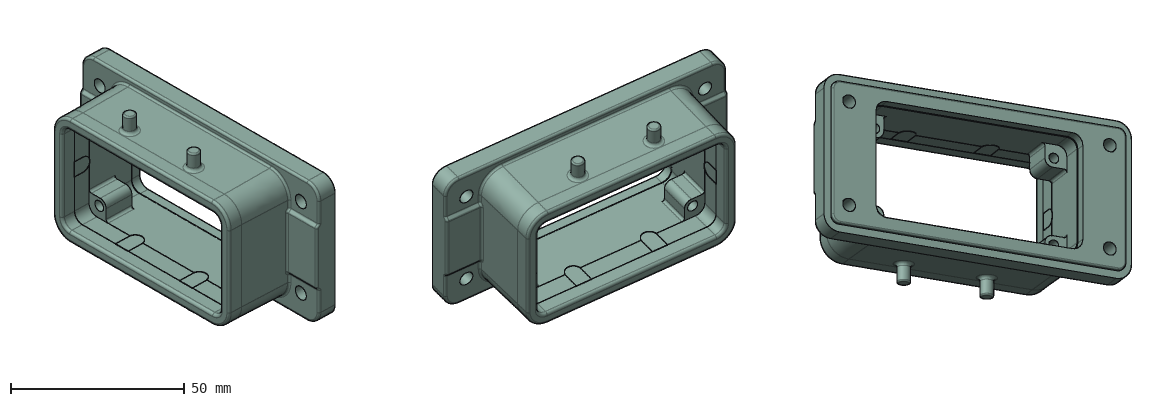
import cadquery as cq
import math


depth = 31.65

plate_length = 98.0
plate_height = 48.7
plate_corner = 4.9
plate_front = 7.7
lip_inset_x = 2.2
lip_inset_z = 2.4
lip_depth = 1.2
lip_corner = plate_corner - lip_inset_z
lip_round = 0.5
plate_round = 0.8

pad_rise = 0.9
step_length = 1.5
pad_half_height = 10.2

screw_hole_front = 4.5
screw_hole_back = 4.0
screw_x = 41.5
screw_z = 16.0

collar_length = 72.7
collar_height = 43.0
collar_corner = 7.2
collar_depth = 5.1
wall_draft = 1.2
rim_round = 0.9
mouth_round = 1.0
base_fillet = 0.7

opening_length = 65.3
opening_height = 35.3
opening_corner = 3.1
rear_step = 0.3
rear_depth = 3.4
band_depth = 0.1
band_end = 11.0
relief_depth = 0.2
relief_radius = 2.6
relief_centre = 10.6
end_relief_centre = 8.6

pin_diameter = 4.0
pin_x = 13.2
pin_from_rim = 8.3
pin_tip_z = 27.5
pin_tip_round = 0.5
pin_fillet = 1.1

boss_inner_x = 25.7
boss_inner_z = 10.6
boss_front = band_end
boss_length = 10.4
boss_corner = 2.45
boss_fillet = 0.9
boss_overlap = 1.0
boss_hole_front = 3.5
boss_hole_back = 3.0
boss_hole_x = 28.5
boss_hole_z = 13.4

rim_y = -depth
pin_y = rim_y + pin_from_rim
collar_y = rim_y + collar_depth
wall_growth = (-plate_front - collar_y) * math.tan(math.radians(wall_draft))
edge_margin = 0.3
SIGNS = (-1, 1)
CORNERS = [(sx, sz) for sx in SIGNS for sz in SIGNS]


def rounded_block(length, height, corner, y_front, y_back):
    """Block with rounded vertical corners, spanning y_front to y_back."""
    return (
        cq.Workplane("XZ", origin=(0, y_back, 0))
        .rect(length, height)
        .extrude(y_back - y_front)
        .edges("|Y")
        .fillet(corner)
    )


def make_lip():
    """Locating lip, inset from the plate and rounded along its back edge."""
    lip = rounded_block(
        plate_length - 2 * lip_inset_x, plate_height - 2 * lip_inset_z, lip_corner, -plate_front, 0
    )
    return lip.faces(">Y").edges().fillet(lip_round)


def make_plate():
    """Plate and raised pad, rounded along the whole front edge."""
    plate = rounded_block(plate_length, plate_height, plate_corner, -plate_front, -lip_depth)
    face_y = -plate_front
    pad_y = face_y - pad_rise
    outer_z = pad_half_height + step_length
    upper_half = (
        cq.Workplane("YZ", origin=(-plate_length / 2, 0, 0))
        .moveTo(-lip_depth, 0)
        .lineTo(pad_y, 0)
        .lineTo(pad_y, pad_half_height)
        .spline([(face_y, outer_z)], tangents=[(0, 1), (0, 1)], includeCurrent=True)
        .lineTo(-lip_depth, outer_z)
        .close()
        .extrude(plate_length)
    )
    pad = upper_half.union(upper_half.mirror("XY")).clean()
    plate = plate.union(pad)
    front_edges = cq.selectors.BoxSelector(
        (-plate_length, pad_y - edge_margin, -plate_height),
        (plate_length, face_y + edge_margin, plate_height),
    )
    step_lines = cq.selectors.BoxSelector(
        (-edge_margin, pad_y - edge_margin, -outer_z - edge_margin),
        (edge_margin, face_y + edge_margin, outer_z + edge_margin),
    )
    return plate.edges(front_edges - step_lines).fillet(plate_round)


def make_housing():
    """Straight collar with a rounded rim, and drafted walls running back into the plate."""
    collar = rounded_block(collar_length, collar_height, collar_corner, rim_y, collar_y)
    collar = collar.faces("<Y").edges().fillet(rim_round)
    walls = (
        cq.Workplane("XZ", origin=(0, collar_y, 0))
        .sketch()
        .rect(collar_length, collar_height)
        .vertices()
        .fillet(collar_corner)
        .finalize()
        .extrude(collar_y + lip_depth, taper=-wall_draft)
    )
    return collar.union(walls)


def round_base(body):
    """Blend the foot of the housing into the plate and pads."""
    reach_x = collar_length / 2 + wall_growth + edge_margin
    reach_z = collar_height / 2 + wall_growth + edge_margin
    foot = cq.selectors.BoxSelector(
        (-reach_x, -plate_front - pad_rise - edge_margin, -reach_z),
        (reach_x, -plate_front + edge_margin, reach_z),
    )
    return body.edges(foot).fillet(base_fillet)


def add_pins(body):
    """Two pins on the top wall and two on the bottom wall, blended into the walls."""
    pins = (
        cq.Workplane("XY", origin=(0, pin_y, -pin_tip_z))
        .pushPoints([(-pin_x, 0), (pin_x, 0)])
        .circle(pin_diameter / 2)
        .extrude(2 * pin_tip_z)
        .faces("<Z or >Z")
        .edges()
        .fillet(pin_tip_round)
    )
    body = body.union(pins)
    wall_z = collar_height / 2 + (pin_y - collar_y) * math.tan(math.radians(wall_draft))
    for sx, sz in CORNERS:
        root = (sx * pin_x, pin_y, sz * wall_z)
        body = body.edges(cq.selectors.NearestToPointSelector(root)).fillet(pin_fillet)
    return body


def relief_bar(half_reach, centre, offset=0):
    """Round-ended bar along Z that cuts two opposite walls, starting at the band's front edge."""
    end_y = rim_y + centre
    return (
        cq.Workplane("XY", origin=(offset, 0, -half_reach))
        .moveTo(-relief_radius, collar_y)
        .lineTo(relief_radius, collar_y)
        .lineTo(relief_radius, end_y)
        .threePointArc((0, end_y + relief_radius), (-relief_radius, end_y))
        .close()
        .extrude(2 * half_reach)
    )


def make_opening():
    """Space inside the walls, without the screw bosses."""
    room = rounded_block(opening_length, opening_height, opening_corner, rim_y, -rear_depth)
    rear_mouth = rounded_block(
        opening_length + 2 * rear_step,
        opening_height + 2 * rear_step,
        opening_corner + rear_step,
        -rear_depth,
        0,
    )
    band = rounded_block(
        opening_length + 2 * band_depth,
        opening_height + 2 * band_depth,
        opening_corner + band_depth,
        collar_y,
        rim_y + band_end,
    )
    space = room.union(rear_mouth).union(band)
    for sx in SIGNS:
        space = space.union(relief_bar(opening_height / 2 + relief_depth, relief_centre, sx * pin_x))
    end_bar = relief_bar(opening_length / 2 + relief_depth, end_relief_centre)
    return space.union(end_bar.rotate((0, 0, 0), (0, 1, 0), 90))


def make_bosses():
    """Rounded posts in the four corners of the opening."""
    front_y = rim_y + boss_front
    bosses = cq.Workplane("XY")
    outer_x = opening_length / 2 + boss_overlap
    outer_z = opening_height / 2 + boss_overlap
    for sx, sz in CORNERS:
        inner_edge = (sx * boss_inner_x, front_y + boss_length / 2, sz * boss_inner_z)
        boss = (
            cq.Workplane("XZ", origin=(0, front_y + boss_length, 0))
            .moveTo(sx * boss_inner_x, sz * outer_z)
            .lineTo(sx * boss_inner_x, sz * boss_inner_z)
            .lineTo(sx * outer_x, sz * boss_inner_z)
            .lineTo(sx * outer_x, sz * outer_z)
            .close()
            .extrude(boss_length)
            .edges(cq.selectors.NearestToPointSelector(inner_edge))
            .fillet(boss_corner)
        )
        bosses = bosses.add(boss)
    return bosses.combine()


def cut_opening(body):
    """Cut the opening around the bosses, then blend the bosses into the walls and round the mouth."""
    space = make_opening().cut(make_bosses())
    middle_y = rim_y + boss_front + boss_length / 2
    roots = []
    for sx, sz in CORNERS:
        roots.append((sx * boss_inner_x, middle_y, sz * opening_height / 2))
        roots.append((sx * opening_length / 2, middle_y, sz * boss_inner_z))
    for root in roots:
        space = space.edges(cq.selectors.NearestToPointSelector(root)).fillet(boss_fillet)
    mouth = cq.selectors.LengthNthSelector(0)
    return body.cut(space).faces("<Y").wires(mouth).fillet(mouth_round)


def drill(body, x, z, front_y, length, front_diameter, back_diameter):
    """Tapered hole that starts at front_y and narrows toward the back."""
    hole = cq.Solid.makeCone(
        front_diameter / 2,
        back_diameter / 2,
        length,
        pnt=cq.Vector(x, front_y, z),
        dir=cq.Vector(0, 1, 0),
    )
    return body.cut(cq.Workplane(hole))


result = round_base(make_lip().union(make_plate()).union(make_housing()))
result = add_pins(result)
result = cut_opening(result)
for side_x, side_z in CORNERS:
    result = drill(
        result,
        side_x * screw_x,
        side_z * screw_z,
        -plate_front,
        plate_front,
        screw_hole_front,
        screw_hole_back,
    )
    result = drill(
        result,
        side_x * boss_hole_x,
        side_z * boss_hole_z,
        rim_y + boss_front,
        boss_length,
        boss_hole_front,
        boss_hole_back,
    )